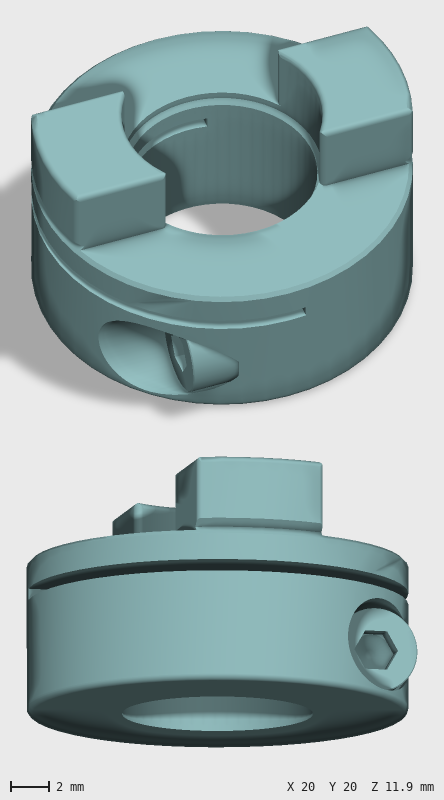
import cadquery as cq
OUTER_RADIUS = 10.0
BORE_RADIUS = 5.0
RING_HEIGHT = 8.0
RING_TOP_CHAMFER = 0.2
RING_BOTTOM_FILLET = 0.3

MOUTH_RADIUS = 5.25
MOUTH_DEPTH = 0.4
MOUTH_CONE_HEIGHT = MOUTH_RADIUS - BORE_RADIUS

LUG_WIDTH = 6.8
TOTAL_HEIGHT = 11.9
LUG_TOP_FILLET = 0.3
LUG_CORNER_RADIUS = 0.3
GROOVE_DEPTH = 0.4
GROOVE_BOTTOM = RING_HEIGHT - RING_TOP_CHAMFER

SLOT_BOTTOM = 5.8
SLOT_HEIGHT = 0.6
SLOT_END_Y = 1.0

SCREW_X = 7.3
SCREW_Z = 2.8
HEAD_RADIUS = 2.25
HEAD_CHAMFER = 0.05
HEAD_LENGTH = 2.5
HEAD_FACE_Y = -5.12
SEAT_Y = HEAD_FACE_Y + HEAD_LENGTH
SHANK_RADIUS = 1.25
SHANK_LENGTH = 7.0
COUNTERBORE_RADIUS = 2.4
HEX_ACROSS_FLATS = 2.05
HEX_CIRCLE_RADIUS = HEX_ACROSS_FLATS / 2
HEX_CORNER_DIAMETER = HEX_ACROSS_FLATS / 0.75**0.5
HEX_DEPTH = 1.0
HEX_CONE_HEIGHT = 0.6


def make_ring():
    """Plain ring with its outer edges broken."""
    ring = cq.Workplane("XY").circle(OUTER_RADIUS).extrude(RING_HEIGHT)
    ring = ring.faces(">Z").chamfer(RING_TOP_CHAMFER)
    ring = ring.faces("<Z").edges().fillet(RING_BOTTOM_FILLET)
    return ring.cut(make_bore())


def make_bore():
    """Revolved volume of the bore and its wider mouth."""
    mouth_floor = RING_HEIGHT - MOUTH_DEPTH
    return (
        cq.Workplane("XZ")
        .lineTo(BORE_RADIUS, 0)
        .lineTo(BORE_RADIUS, mouth_floor - MOUTH_CONE_HEIGHT)
        .lineTo(MOUTH_RADIUS, mouth_floor)
        .lineTo(MOUTH_RADIUS, RING_HEIGHT)
        .lineTo(0, RING_HEIGHT)
        .close()
        .revolve(360, (0, 0), (0, 1))
    )


def make_lug(side):
    """Lug on the +Y (side = 1) or -Y (side = -1) half of the ring."""
    base = cq.Workplane("XY").workplane(offset=GROOVE_BOTTOM)
    height = TOTAL_HEIGHT - GROOVE_BOTTOM
    sector = base.circle(OUTER_RADIUS).circle(MOUTH_RADIUS).extrude(height)
    block = base.center(0, side * OUTER_RADIUS / 2).rect(LUG_WIDTH, OUTER_RADIUS).extrude(height)
    outline = sector.intersect(block).edges("|Z").fillet(LUG_CORNER_RADIUS)
    rounded_sector = sector.faces(">Z").fillet(LUG_TOP_FILLET)
    rounded_block = block.faces(">Z").edges("|Y").fillet(LUG_TOP_FILLET)
    return outline.intersect(rounded_sector).intersect(rounded_block)


def make_groove():
    """Revolved V groove that undercuts the outer foot of the lugs."""
    return (
        cq.Workplane("XZ")
        .moveTo(OUTER_RADIUS, GROOVE_BOTTOM)
        .lineTo(OUTER_RADIUS - GROOVE_DEPTH, GROOVE_BOTTOM + GROOVE_DEPTH)
        .lineTo(OUTER_RADIUS, GROOVE_BOTTOM + 2 * GROOVE_DEPTH)
        .close()
        .revolve(360, (0, 0), (0, 1))
    )


def make_slot():
    """Slot open toward -Y, cutting across the whole width of the ring."""
    length = OUTER_RADIUS + SLOT_END_Y
    slot = cq.Workplane("XY").box(2 * OUTER_RADIUS, length, SLOT_HEIGHT, centered=(True, False, False))
    return slot.translate((0, -OUTER_RADIUS, SLOT_BOTTOM))


def cylinder_along_y(radius, start_y, length):
    """Cylinder on the screw axis, running from start_y toward +Y."""
    plane = cq.Plane(origin=(SCREW_X, start_y, SCREW_Z), xDir=(1, 0, 0), normal=(0, 1, 0))
    return cq.Workplane(plane).circle(radius).extrude(length)


def make_hub():
    """Ring with its lugs, groove, slot and screw hole."""
    hub = make_ring()
    for side in (1, -1):
        hub = hub.union(make_lug(side))
    hub = hub.cut(make_groove())
    hub = hub.cut(make_slot())
    hub = hub.cut(cylinder_along_y(COUNTERBORE_RADIUS, -OUTER_RADIUS, OUTER_RADIUS + SEAT_Y))
    return hub.cut(cylinder_along_y(SHANK_RADIUS, SEAT_Y, SHANK_LENGTH))


def make_hex_socket():
    """Hexagonal recess ending in a conical bottom."""
    face = cq.Plane(origin=(SCREW_X, HEAD_FACE_Y, SCREW_Z), xDir=(1, 0, 0), normal=(0, 1, 0))
    hexagon = cq.Workplane(face).polygon(6, HEX_CORNER_DIAMETER).extrude(HEX_DEPTH)
    cone = cq.Solid.makeCone(
        HEX_CIRCLE_RADIUS,
        0,
        HEX_CONE_HEIGHT,
        pnt=cq.Vector(SCREW_X, HEAD_FACE_Y + HEX_DEPTH, SCREW_Z),
        dir=cq.Vector(0, 1, 0),
    )
    return hexagon.union(cq.Workplane(cone))


def make_screw():
    """Socket head screw that fills the shank hole and sits on the counterbore floor."""
    head = cylinder_along_y(HEAD_RADIUS, HEAD_FACE_Y, HEAD_LENGTH)
    head = head.faces("<Y").chamfer(HEAD_CHAMFER)
    shank = cylinder_along_y(SHANK_RADIUS, SEAT_Y, SHANK_LENGTH)
    return head.union(shank).cut(make_hex_socket())


hub = make_hub()
screw = make_screw()
result = cq.Compound.makeCompound([hub.val(), screw.val()])